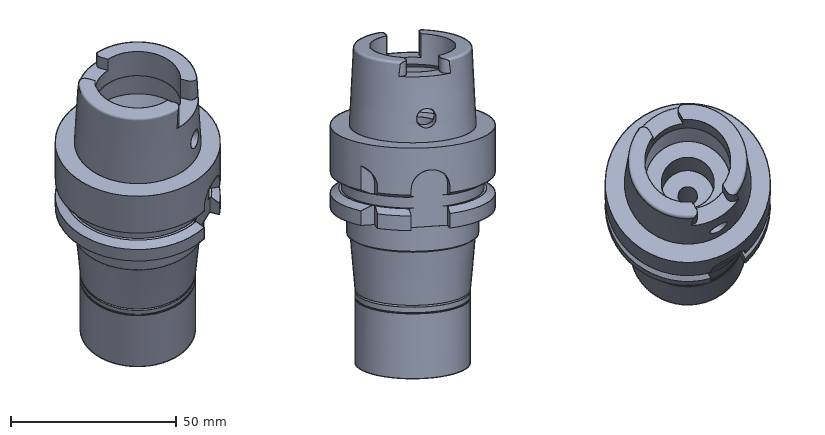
import cadquery as cq
import math

overall_length = 100.0
taper_length = 25.0
bottom_z = taper_length - overall_length

taper_base_radius = 19.2
taper_slope = 1 / 20
taper_top_radius = taper_base_radius - taper_slope * taper_length
rim_round = 0.9

flange_radius = 25.0
flange_bottom_z = -26.0
groove_radius = 21.6
groove_lip_radius = 22.4
groove_top_z = -16.3
groove_bottom_z = -19.9
groove_side_angle = math.radians(30)
groove_side_height = (flange_radius - groove_lip_radius) * math.tan(groove_side_angle)

neck_radius = 20.0
neck_bottom_z = -34.0
neck_chamfer_height = 0.6
cone_top_radius = 19.0
cone_bottom_radius = 17.5
cone_bottom_z = -51.8

gap_height = 0.6
spigot_radius = 13.8
collar_radius = 17.5
collar_top_z = cone_bottom_z - gap_height
collar_bottom_z = -54.2
nut_radius = collar_radius
nut_chamfer = 0.3

mouth_radius = 13.0
undercut_radius = 16.0
undercut_top_z = 15.3
undercut_bottom_z = 5.4
undercut_ceiling_angle = math.radians(30)
undercut_foot_angle = math.radians(60)
undercut_depth = undercut_radius - mouth_radius
undercut_ceiling_height = undercut_depth * math.tan(undercut_ceiling_angle)
undercut_foot_height = undercut_depth * math.tan(undercut_foot_angle)
bore_floor_z = undercut_bottom_z - undercut_foot_height
counterbore_radius = 8.0
counterbore_depth = 15.0
through_radius = 2.9
cross_hole_radius = 3.0
cross_hole_z = 7.5

slot_half_width = 5.3
slot_flare_radius = 2.0
slot_flare_x = 16.3
deep_slot_depth = 7.5
shallow_slot_depth = 4.5

keyway_radius = 6.0
keyway_flat_x = 21.1
keyway_arc_z = -13.0
notch_floor_x = -15.5
notch_wall_y = 15.4

clearance = 5.0


def revolve_about_z(points):
    """Revolve a closed outline of (radius, z) points about the Z axis."""
    return cq.Workplane("YZ").polyline(points).close().revolve(360, (0, 0), (0, 1))


def cylinder(radius, z_low, z_high):
    return cq.Workplane("XY").workplane(offset=z_low).circle(radius).extrude(z_high - z_low)


def make_holder_blank():
    blank = revolve_about_z([
        (0, cone_bottom_z),
        (cone_bottom_radius, cone_bottom_z),
        (cone_top_radius, neck_bottom_z - neck_chamfer_height),
        (neck_radius, neck_bottom_z),
        (neck_radius, flange_bottom_z),
        (flange_radius, flange_bottom_z),
        (flange_radius, groove_bottom_z - groove_side_height),
        (groove_lip_radius, groove_bottom_z),
        (groove_radius, groove_bottom_z),
        (groove_radius, groove_top_z),
        (groove_lip_radius, groove_top_z),
        (flange_radius, groove_top_z + groove_side_height),
        (flange_radius, 0),
        (taper_base_radius, 0),
        (taper_top_radius, taper_length),
        (0, taper_length),
    ])
    return blank.faces(">Z").edges().fillet(rim_round)


def make_bore_cutter():
    """Stepped central bore with an undercut between its mouth and its floor."""
    counterbore_floor_z = bore_floor_z - counterbore_depth
    return revolve_about_z([
        (0, cone_bottom_z),
        (through_radius, cone_bottom_z),
        (through_radius, counterbore_floor_z),
        (counterbore_radius, counterbore_floor_z),
        (counterbore_radius, bore_floor_z),
        (mouth_radius, bore_floor_z),
        (undercut_radius, undercut_bottom_z),
        (undercut_radius, undercut_top_z - undercut_ceiling_height),
        (mouth_radius, undercut_top_z),
        (mouth_radius, taper_length),
        (0, taper_length),
    ])


def make_cross_hole_cutter():
    half_length = taper_base_radius + clearance
    return (
        cq.Workplane("YZ")
        .center(0, cross_hole_z)
        .circle(cross_hole_radius)
        .extrude(half_length, both=True)
    )


def make_drive_slot_cutter(side, depth):
    """Slot in the rim on the +X (side 1) or -X (side -1) side, flared by rounded ends."""
    flare_start_x = slot_flare_x - slot_flare_radius
    flare_end_y = slot_half_width + slot_flare_radius
    half_arc_reach = slot_flare_radius * math.sin(math.radians(45))
    arc_x = flare_start_x + half_arc_reach
    arc_y = flare_end_y - half_arc_reach
    outer_x = taper_base_radius + clearance
    outer_y = flare_end_y + clearance
    return (
        cq.Workplane("XY")
        .workplane(offset=taper_length - depth)
        .moveTo(0, -slot_half_width)
        .lineTo(side * flare_start_x, -slot_half_width)
        .threePointArc((side * arc_x, -arc_y), (side * slot_flare_x, -flare_end_y))
        .lineTo(side * slot_flare_x, -outer_y)
        .lineTo(side * outer_x, -outer_y)
        .lineTo(side * outer_x, outer_y)
        .lineTo(side * slot_flare_x, outer_y)
        .lineTo(side * slot_flare_x, flare_end_y)
        .threePointArc((side * arc_x, arc_y), (side * flare_start_x, slot_half_width))
        .lineTo(0, slot_half_width)
        .close()
        .extrude(depth + clearance)
    )


def make_keyway_cutter(centre_y, floor_x):
    """Round-topped channel, cut into the flange from the side down to a flat floor at floor_x."""
    outward = math.copysign(1, floor_x)
    depth = flange_radius + clearance - abs(floor_x)
    return (
        cq.Workplane("YZ")
        .workplane(offset=floor_x)
        .moveTo(centre_y - keyway_radius, flange_bottom_z)
        .lineTo(centre_y - keyway_radius, keyway_arc_z)
        .threePointArc((centre_y, keyway_arc_z + keyway_radius), (centre_y + keyway_radius, keyway_arc_z))
        .lineTo(centre_y + keyway_radius, flange_bottom_z)
        .close()
        .extrude(outward * depth)
    )


def make_holder():
    holder = make_holder_blank()
    holder = holder.cut(make_bore_cutter())
    holder = holder.cut(make_cross_hole_cutter())
    holder = holder.cut(make_drive_slot_cutter(1, deep_slot_depth))
    holder = holder.cut(make_drive_slot_cutter(-1, shallow_slot_depth))
    for floor_x in (-keyway_flat_x, keyway_flat_x):
        holder = holder.cut(make_keyway_cutter(0, floor_x))
    return holder.cut(make_keyway_cutter(notch_wall_y + keyway_radius, notch_floor_x))


def make_chuck_body():
    """Collar with a spigot that spans the gap to the holder's lower face."""
    collar = cylinder(collar_radius, collar_bottom_z, collar_top_z)
    spigot = cylinder(spigot_radius, collar_bottom_z, cone_bottom_z)
    bore = cylinder(through_radius, collar_bottom_z, cone_bottom_z)
    return collar.union(spigot).cut(bore)


def make_nut():
    nut = cylinder(nut_radius, bottom_z, collar_bottom_z)
    nut = nut.faces(">Z").chamfer(nut_chamfer)
    return nut.cut(cylinder(through_radius, bottom_z, collar_bottom_z))


holder = make_holder()
chuck_body = make_chuck_body()
nut = make_nut()

result = cq.Compound.makeCompound([holder.val(), chuck_body.val(), nut.val()])